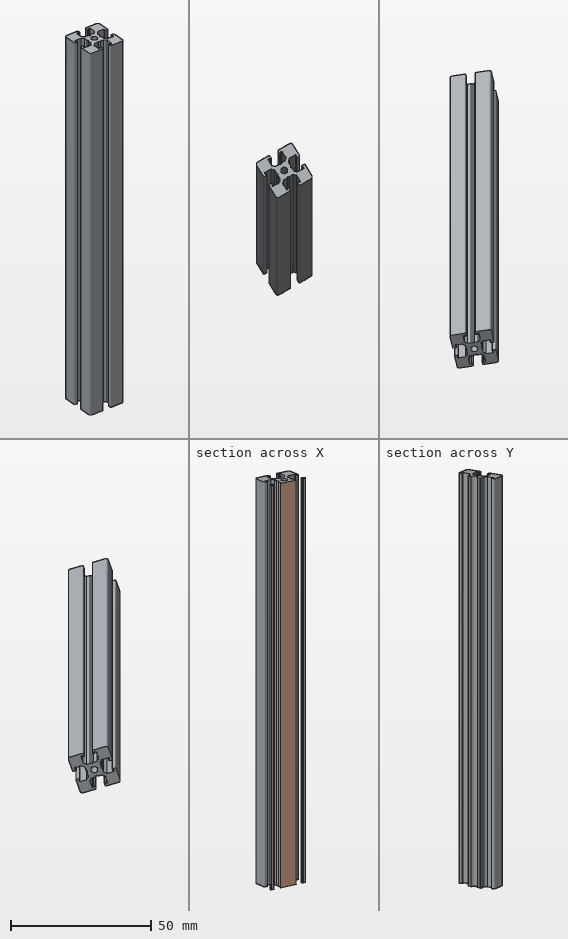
import cadquery as cq

length = 152.0
side = 15.0
corner_radius = 0.9
bore_diameter = 2.5

mouth_half_width = 1.7
mouth_round = 0.38
cavity_half_width = 2.9
floor_half_width = 2.0
floor_distance = 2.9
lip_thickness = 1.0
hook_height = 0.3
hook_width = 0.6
groove_half_width = 0.6
groove_depth = 0.3

half_side = side / 2
lip_inner = half_side - lip_thickness
hook_inner = lip_inner - hook_height
hook_back = mouth_half_width + hook_width
floor_bevel = cavity_half_width - floor_half_width


def make_slot():
    """Cutter for the slot on the +Y side, including its rounded mouth."""
    return (
        cq.Workplane("XY")
        .moveTo(0, floor_distance - groove_depth)
        .lineTo(groove_half_width, floor_distance)
        .lineTo(floor_half_width, floor_distance)
        .lineTo(cavity_half_width, floor_distance + floor_bevel)
        .lineTo(cavity_half_width, lip_inner)
        .lineTo(hook_back, lip_inner)
        .lineTo(hook_back, hook_inner)
        .lineTo(mouth_half_width, hook_inner)
        .lineTo(mouth_half_width, half_side - mouth_round)
        .radiusArc((mouth_half_width + mouth_round, half_side), mouth_round)
        .lineTo(0, half_side)
        .mirrorY()
        .extrude(length)
    )


def make_body():
    """Square bar with rounded long edges."""
    return (
        cq.Workplane("XY")
        .rect(side, side)
        .extrude(length)
        .edges("|Z")
        .fillet(corner_radius)
    )


result = make_body()
slot = make_slot()
for angle in (0, 90, 180, 270):
    result = result.cut(slot.rotate((0, 0, 0), (0, 0, 1), angle))

bore = cq.Workplane("XY").circle(bore_diameter / 2).extrude(length)
result = result.cut(bore)